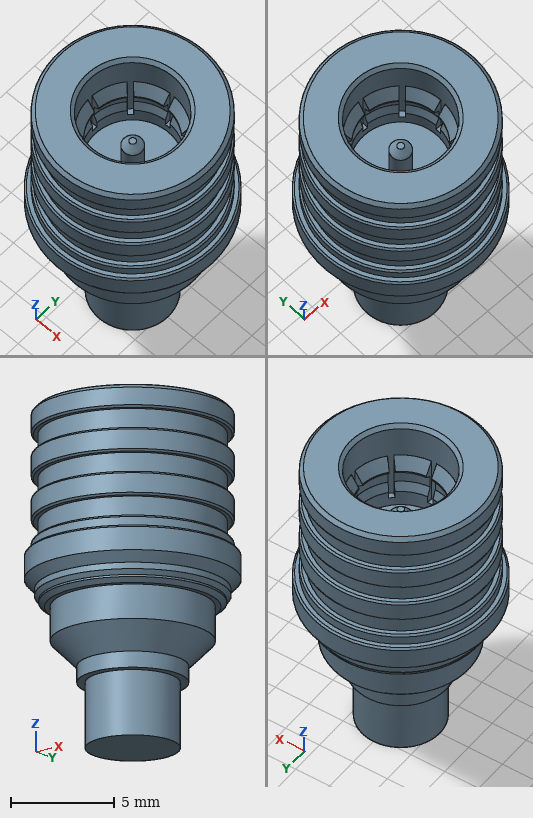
import cadquery as cq

total_height = 16.95
ferrule_top = 3.29
neck_top = 4.1
shank_bottom = 5.37
shank_top = 7.1
collar_bottom = 8.48
collar_top = 9.75

ferrule_radius = 2.3
neck_radius = 2.71
shank_radius = 4.0
collar_diameter = 10.5
collar_radius = collar_diameter / 2
grip_radius = 4.92
groove_radius = 4.6

seat_bottom_radius = 4.27
seat_lip_radius = 4.56
seat_lip_bottom = 7.32
seat_lip_top = 7.42
seat_band_radius = 4.76
seat_band_bottom = 7.66
seat_band_top = 7.98

groove_count = 3
groove_pitch = 2.2
groove_width = 1.02
lowest_groove_bottom = 10.34
edge_chamfer = 0.1
rim_chamfer = 0.2

bore_radius = 2.81
lip_radius = 2.37
undercut_radius = 2.7
floor_radius = 2.5
lip_slope_start_depth = 2.0
lip_crest_start_depth = 2.68
lip_crest_end_depth = 2.76
undercut_start_depth = 2.98
undercut_end_depth = 3.68
floor_bore_start_depth = 4.19
socket_depth = 5.08

slot_count = 8
slot_width = 0.3
slot_depth = 4.58

pin_radius = 0.58
pin_shoulder_radius = 0.5
pin_tip_radius = 0.19
pin_tip_depth = 2.88
pin_shoulder_drop = 0.3
pin_side_drop = 0.4


def revolve_profile(points):
    """Turn a closed (radius, height) outline about the Z axis."""
    return cq.Workplane("XZ").polyline(points).close().revolve(360, (0, 0, 0), (0, 1, 0))


def make_body():
    outline = [
        (0, 0),
        (ferrule_radius, 0),
        (ferrule_radius, ferrule_top),
        (neck_radius, ferrule_top),
        (neck_radius, neck_top),
        (shank_radius, shank_bottom),
        (shank_radius, shank_top),
        (seat_bottom_radius, shank_top),
        (seat_lip_radius, seat_lip_bottom),
        (seat_lip_radius, seat_lip_top),
        (seat_band_radius, seat_band_bottom),
        (seat_band_radius, seat_band_top),
        (collar_radius, collar_bottom),
        (collar_radius, collar_top - edge_chamfer),
        (collar_radius - edge_chamfer, collar_top),
        (grip_radius, collar_top),
    ]
    for index in range(groove_count):
        bottom = lowest_groove_bottom + index * groove_pitch
        top = bottom + groove_width
        outline += [
            (grip_radius, bottom - edge_chamfer),
            (grip_radius - edge_chamfer, bottom),
            (groove_radius, bottom),
            (groove_radius, top),
            (grip_radius - edge_chamfer, top),
            (grip_radius, top + edge_chamfer),
        ]
    outline += [
        (grip_radius, total_height - rim_chamfer),
        (grip_radius - rim_chamfer, total_height),
        (0, total_height),
    ]
    return revolve_profile(outline)


def make_socket():
    """Stepped bore with an inward snap lip and a relief behind it."""
    outline_by_depth = [
        (0, 0),
        (bore_radius + rim_chamfer, 0),
        (bore_radius, rim_chamfer),
        (bore_radius, lip_slope_start_depth),
        (lip_radius, lip_crest_start_depth),
        (lip_radius, lip_crest_end_depth),
        (undercut_radius, undercut_start_depth),
        (undercut_radius, undercut_end_depth),
        (floor_radius, floor_bore_start_depth),
        (floor_radius, socket_depth),
        (0, socket_depth),
    ]
    return revolve_profile([(radius, total_height - depth) for radius, depth in outline_by_depth])


def make_slots():
    """Narrow radial cuts out to the bore wall, evenly spaced around the socket."""
    slot_height = slot_depth - lip_slope_start_depth
    bar_length = collar_diameter
    bars = cq.Workplane("XY")
    for index in range(slot_count // 2):
        bar = cq.Workplane("XY").box(
            bar_length, slot_width, slot_height, centered=(True, True, False)
        )
        bars = bars.union(bar.rotate((0, 0, 0), (0, 0, 1), index * 360 / slot_count))
    bore_limit = cq.Workplane("XY").circle(bore_radius).extrude(slot_height)
    return bars.intersect(bore_limit).translate((0, 0, total_height - slot_depth))


def make_pin():
    tip_height = total_height - pin_tip_depth
    shoulder_height = tip_height - pin_shoulder_drop
    return revolve_profile([
        (0, total_height - socket_depth),
        (pin_radius, total_height - socket_depth),
        (pin_radius, tip_height - pin_side_drop),
        (pin_shoulder_radius, shoulder_height),
        (pin_tip_radius, tip_height),
        (0, tip_height),
    ])


result = make_body().cut(make_socket()).cut(make_slots()).union(make_pin())